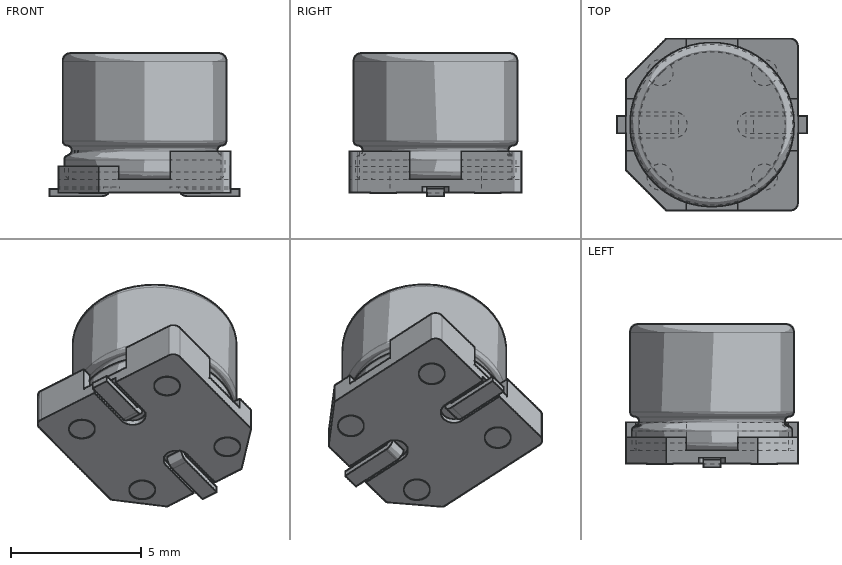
import cadquery as cq
import math

overall_length = 7.3
overall_height = 5.5

base_size = 6.6
base_bottom = 0.14
base_top = 1.16
wall_top = 1.73
seat_level = 0.66
notch_width = 1.985
corner_chamfer = 1.55
corner_radius = 0.3

foot_diameter = 1.0
foot_height = 0.03
foot_spacing = 4.0

can_radius = 6.3 / 2
can_top_rounding = 0.315
can_foot_radius = 3.08
can_foot_rounding = 0.285
can_foot_shoulder = 1.41
neck_radius = 2.8
neck_level = 1.75
bead_radius = 0.2
bead_bottom = 1.94

lead_width = 0.665
lead_thickness = 0.285
lead_inner_bend = 0.05
lead_inner_end = 1.3
recess_width = 1.0
recess_top = 0.37
recess_arc_center = 1.46

half_base = base_size / 2


def box(x_range, y_range, z_range):
    """Axis-aligned box given by its low and high limits."""
    sizes = [high - low for low, high in (x_range, y_range, z_range)]
    corner = (x_range[0], y_range[0], z_range[0])
    return cq.Workplane("XY").box(*sizes, centered=False).translate(corner)


def make_base():
    height = wall_top - base_bottom
    base = cq.Workplane("XY").workplane(offset=base_bottom).rect(base_size, base_size).extrude(height)
    base = base.edges("|Z and <X").chamfer(corner_chamfer)
    base = base.edges("|Z and >X").fillet(corner_radius)

    half_notch = notch_width / 2
    full_side = (-half_base, half_base)
    notch_side = (-half_notch, half_notch)
    base = base.cut(box((-half_base, half_notch), full_side, (base_top, wall_top)))

    base = base.cut(box(full_side, notch_side, (seat_level, wall_top)))
    base = base.cut(box(notch_side, full_side, (seat_level, wall_top)))

    seat = cq.Workplane("XY").workplane(offset=seat_level).circle(can_foot_radius)
    return base.cut(seat.extrude(wall_top - seat_level))


def make_feet():
    return (
        cq.Workplane("XY")
        .workplane(offset=base_bottom - foot_height)
        .rect(foot_spacing, foot_spacing, forConstruction=True)
        .vertices()
        .circle(foot_diameter / 2)
        .extrude(2 * foot_height)
    )


def make_can():
    diagonal = math.sqrt(0.5)
    foot_arc_center = (can_foot_radius - can_foot_rounding, seat_level + can_foot_rounding)
    foot_arc_middle = (
        foot_arc_center[0] + can_foot_rounding * diagonal,
        foot_arc_center[1] - can_foot_rounding * diagonal,
    )
    bead_inner = can_radius - bead_radius
    bead_middle = (
        bead_inner + bead_radius * diagonal,
        bead_bottom + bead_radius * (1 - diagonal),
    )
    neck_middle = (
        bead_inner - (bead_inner - neck_radius) * diagonal,
        neck_level + (bead_bottom - neck_level) * diagonal,
    )
    top_inner = can_radius - can_top_rounding
    top_middle = (
        top_inner + can_top_rounding * diagonal,
        overall_height - can_top_rounding * (1 - diagonal),
    )
    profile = (
        cq.Workplane("XZ")
        .moveTo(0, seat_level)
        .lineTo(foot_arc_center[0], seat_level)
        .threePointArc(foot_arc_middle, (can_foot_radius, foot_arc_center[1]))
        .lineTo(can_foot_radius, can_foot_shoulder)
        .spline([(neck_radius, neck_level)], tangents=[(0, 1), (0, 1)], includeCurrent=True)
        .threePointArc(neck_middle, (bead_inner, bead_bottom))
        .threePointArc(bead_middle, (can_radius, bead_bottom + bead_radius))
        .lineTo(can_radius, overall_height - can_top_rounding)
        .threePointArc(top_middle, (top_inner, overall_height))
        .lineTo(0, overall_height)
        .close()
    )
    return profile.revolve(360, (0, 0, 0), (0, 1, 0))


def make_lead_recess():
    """Round-ended slot under the +X side of the base."""
    slot = box(
        (recess_arc_center, half_base),
        (-recess_width / 2, recess_width / 2),
        (base_bottom, recess_top),
    )
    round_end = (
        cq.Workplane("XY")
        .workplane(offset=base_bottom)
        .center(recess_arc_center, 0)
        .circle(recess_width / 2)
        .extrude(recess_top - base_bottom)
    )
    return slot.union(round_end)


def make_lead():
    """Flat lead on the +X side, bent up into the base at its inner end."""
    tip = overall_length / 2
    outer_bend = lead_inner_bend + lead_thickness
    upright_outer = lead_inner_end + lead_thickness
    lead_top = seat_level
    return (
        cq.Workplane("XZ")
        .moveTo(tip, 0)
        .lineTo(tip, lead_thickness)
        .lineTo(upright_outer + lead_inner_bend, lead_thickness)
        .radiusArc((upright_outer, outer_bend), lead_inner_bend)
        .lineTo(upright_outer, lead_top)
        .lineTo(lead_inner_end, lead_top)
        .lineTo(lead_inner_end, outer_bend)
        .radiusArc((lead_inner_end + outer_bend, 0), -outer_bend)
        .close()
        .extrude(lead_width / 2, both=True)
    )


def both_ends(shape):
    """The +X shape together with its mirror image on the -X side."""
    return shape.union(shape.mirror("YZ"))


result = make_base().cut(both_ends(make_lead_recess()))
result = result.union(make_feet()).union(make_can()).union(both_ends(make_lead()))